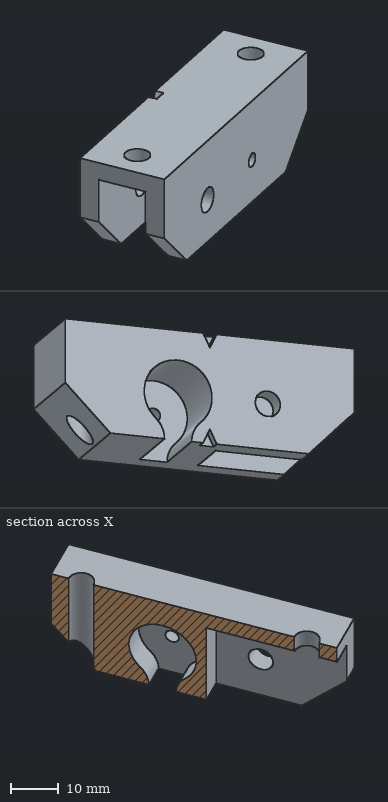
import cadquery as cq
import math

width = 20.0
length = 64.0
height = 24.0
end_chamfer = 10.0

axis_height = 10.0
clearance_hole_diameter = 5.5
pivot_y = -12.8
screw_spacing = 50.5

slot_width = 11.0
slot_top = 2 * axis_height
slot_end_y = pivot_y + (slot_top - axis_height)

bore_y = 7.05
bore_radius = 7.5
neck_half_width = 3.0
bore_back_wall = (width - slot_width) / 2
bore_depth = width - bore_back_wall
shaft_hole_diameter = 3.0

mark_width = 3.0
mark_height = 3.1
mark_depth = 2.0

left_face_x = -width / 2


def side_sketch():
    """Workplane on the -X face: local x is Y, local y is Z, extruding toward +X."""
    return cq.Workplane("YZ", origin=(left_face_x, 0, 0))


def make_block():
    block = cq.Workplane("XY").box(width, length, height, centered=(True, True, False))
    return block.edges("|X").edges("<Z").chamfer(end_chamfer)


def make_screw_holes():
    places = [(0, -screw_spacing / 2), (0, screw_spacing / 2)]
    return cq.Workplane("XY").pushPoints(places).circle(clearance_hole_diameter / 2).extrude(height)


def make_cross_hole(y, diameter):
    return side_sketch().center(y, axis_height).circle(diameter / 2).extrude(width)


def make_slot():
    slot_length = slot_end_y + length / 2
    slot = cq.Workplane("XY").box(slot_width, slot_length, slot_top, centered=(True, False, False))
    return slot.translate((0, -length / 2, 0))


def make_bore():
    radius_gap = bore_radius - neck_half_width
    neck_radius = (axis_height**2 + neck_half_width**2 - bore_radius**2) / (2 * radius_gap)
    neck_centre = neck_half_width + neck_radius
    tilt = math.atan2(axis_height, neck_centre)
    join_offset = bore_radius * math.cos(tilt)
    join_z = axis_height - bore_radius * math.sin(tilt)
    mid_offset = neck_centre - neck_radius * math.cos(tilt / 2)
    mid_z = neck_radius * math.sin(tilt / 2)
    return (
        side_sketch()
        .moveTo(bore_y - neck_half_width, 0)
        .threePointArc((bore_y - mid_offset, mid_z), (bore_y - join_offset, join_z))
        .threePointArc((bore_y, axis_height + bore_radius), (bore_y + join_offset, join_z))
        .threePointArc((bore_y + mid_offset, mid_z), (bore_y + neck_half_width, 0))
        .close()
        .extrude(bore_depth)
    )


def make_mark(base_z, tip_z):
    corners = [(-mark_width / 2, base_z), (mark_width / 2, base_z), (0, tip_z)]
    return side_sketch().polyline(corners).close().extrude(mark_depth)


result = (
    make_block()
    .cut(make_screw_holes())
    .cut(make_slot())
    .cut(make_cross_hole(pivot_y, clearance_hole_diameter))
    .cut(make_bore())
    .cut(make_cross_hole(bore_y, shaft_hole_diameter))
    .cut(make_mark(height, height - mark_height))
    .cut(make_mark(0, mark_height))
)